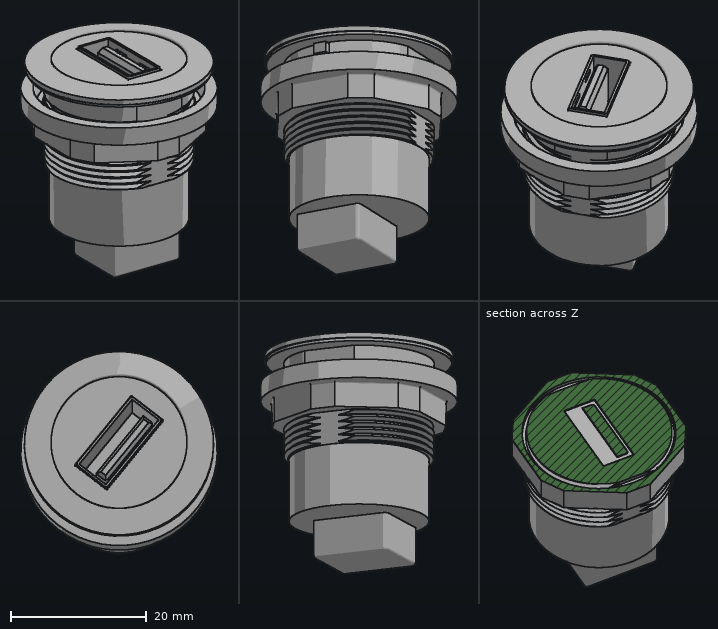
import cadquery as cq
import math

total_height = 31.8
bezel_rim_top = 31.05
bezel_rim_bottom = 30.25
bezel_bottom = 29.8
collar_bottom = 26.2
collar_taper_bottom = 25.7
thread_top = 25.2
nut_flange_top = 26.8
nut_flange_bottom = 24.0
nut_bottom = 20.15
thread_bottom = 15.15
barrel_bottom = 5.8

bezel_diameter = 27.9
bezel_lip_diameter = 27.4
bezel_face_diameter = 20.7
recess_diameter = 20.05
recess_depth = 0.45
recess_edge_radius = (bezel_face_diameter - recess_diameter) / 2

barrel_diameter = 20.7
collar_diameter = 22.2
thread_root_diameter = 20.92
thread_pitch = 1.0
thread_base = 0.98
thread_embed = 0.04
first_crest_height = 15.41

key_top = 29.6
key_bottom = 28.0
key_reach = 12.15
key_width = 2.0

nut_flange_diameter = 29.0
nut_recess_diameter = 25.35
nut_recess_floor_diameter = 24.4
nut_recess_depth = 2.5
nut_bore_diameter = 22.6
nut_bore_depth = 1.0
nut_across_flats = 24.0
nut_across_corners = 25.46
nut_root_fillet = 0.4

plug_x_min = -3.3
plug_x_max = 7.35
plug_width_y = 12.1
plug_edge_radius = 0.6

pocket_length = 13.45
pocket_width = 6.0
pocket_depth = 1.0
pocket_clearance = 0.1
shell_length = pocket_length - 2 * pocket_clearance
shell_width = pocket_width - 2 * pocket_clearance
shell_corner_radius = 0.4
shell_setback = 0.1
shell_top = total_height - shell_setback
cavity_length = 12.55
cavity_width = 5.0
cavity_depth = 8.0
tongue_length = 11.2
tongue_y_min = 0.13
tongue_y_max = 2.02
tongue_setback = 0.53
tongue_top = shell_top - tongue_setback
tongue_bevel_inset = 0.5
tongue_bevel_height = 0.87
tongue_corner_radius = 0.45
slot_spacing = 6.0
slot_length = 2.75
slot_height = 0.5
slot_center_drop = 1.2
slot_depth = 1.5


def disc(diameter, bottom, top):
    """Cylinder on the part axis between two heights."""
    return cq.Workplane("XY").workplane(offset=bottom).circle(diameter / 2).extrude(top - bottom)


def cone(bottom_diameter, top_diameter, bottom, top):
    """Truncated cone on the part axis between two heights."""
    lower = cq.Workplane("XY").workplane(offset=bottom).circle(bottom_diameter / 2)
    return lower.workplane(offset=top - bottom).circle(top_diameter / 2).loft()


def block(length, width, bottom, top, center=(0, 0)):
    """Rectangular block between two heights."""
    sketch = cq.Workplane("XY").workplane(offset=bottom).center(*center)
    return sketch.rect(length, width).extrude(top - bottom)


def make_bezel():
    """Shallow conical front ring with a stepped rim and a rounded round recess."""
    profile = [
        (0, bezel_bottom),
        (bezel_lip_diameter / 2, bezel_bottom),
        (bezel_lip_diameter / 2, bezel_rim_bottom),
        (bezel_diameter / 2, bezel_rim_bottom),
        (bezel_diameter / 2, bezel_rim_top),
        (bezel_face_diameter / 2, total_height),
    ]
    recess_floor = total_height - recess_depth
    edge_middle = recess_edge_radius * (1 - math.sqrt(0.5))
    return (
        cq.Workplane("XZ")
        .polyline(profile)
        .threePointArc(
            (recess_diameter / 2 + edge_middle, total_height - edge_middle),
            (recess_diameter / 2, total_height - recess_edge_radius),
        )
        .lineTo(recess_diameter / 2, recess_floor)
        .lineTo(0, recess_floor)
        .close()
        .revolve(360, (0, 0, 0), (0, 1, 0))
    )


def make_thread():
    """Right-hand V thread, trimmed square at both ends and flat on each X side."""
    foot_radius = thread_root_diameter / 2 - thread_embed
    crest_radius = collar_diameter / 2
    start = first_crest_height - thread_pitch
    length = thread_top + thread_pitch - start
    path = cq.Wire.makeHelix(thread_pitch, length, foot_radius, cq.Vector(0, 0, start))
    tooth = (
        cq.Workplane("XZ")
        .moveTo(foot_radius, start - thread_base / 2)
        .lineTo(crest_radius, start)
        .lineTo(foot_radius, start + thread_base / 2)
        .close()
    )
    ridge = tooth.sweep(cq.Workplane(obj=path), isFrenet=True)
    return ridge.intersect(flat_sided_block(thread_bottom, thread_top))


def flat_sided_block(bottom, top):
    """Block that trims the collar and the thread to a flat on each X side."""
    return block(barrel_diameter, 2 * collar_diameter, bottom, top)


def make_barrel():
    """Flat-sided collar, taper and thread core above the plain round barrel."""
    collar = disc(collar_diameter, collar_bottom, bezel_bottom)
    taper = cone(thread_root_diameter, collar_diameter, collar_taper_bottom, collar_bottom)
    core = disc(thread_root_diameter, thread_bottom, collar_taper_bottom)
    upper = collar.union(taper).union(core).intersect(flat_sided_block(thread_bottom, bezel_bottom))
    return upper.union(disc(barrel_diameter, barrel_bottom, thread_bottom))


def make_key():
    """Block reaching from the axis to just outside the +Y side of the collar."""
    return block(key_width, key_reach, key_bottom, key_top, (0, key_reach / 2))


def hexagon(across_flats, turn):
    """Hexagonal prism of the nut height; a turn of 30 degrees faces a flat to X."""
    prism = cq.Workplane("XY").workplane(offset=nut_bottom)
    prism = prism.polygon(6, across_flats / math.cos(math.pi / 6)).extrude(nut_flange_bottom - nut_bottom)
    return prism.rotate((0, 0, 0), (0, 0, 1), turn)


def make_nut():
    """Flanged hexagon nut with cut corners and a tapered recess in its flange."""
    nut = hexagon(nut_across_flats, 0).intersect(hexagon(nut_across_corners, 30))
    nut = nut.union(disc(nut_flange_diameter, nut_flange_bottom, nut_flange_top))
    mid_height = (nut_bottom + nut_flange_bottom) / 2
    reach = nut_flange_diameter / 2
    around_root = cq.selectors.BoxSelector((-reach, -reach, mid_height), (reach, reach, nut_flange_top))
    root_edges = nut.edges("%LINE").edges("#Z").edges(around_root)
    nut = root_edges.fillet(nut_root_fillet)
    recess_floor = nut_flange_top - nut_recess_depth
    nut = nut.cut(cone(nut_recess_floor_diameter, nut_recess_diameter, recess_floor, nut_flange_top))
    return nut.cut(disc(nut_bore_diameter, recess_floor - nut_bore_depth, recess_floor))


def make_plug():
    """Rounded block under the barrel, offset toward +X."""
    length = plug_x_max - plug_x_min
    center = ((plug_x_min + plug_x_max) / 2, 0)
    plug = block(length, plug_width_y, 0, barrel_bottom, center)
    return plug.edges("|Z or <Z").fillet(plug_edge_radius)


def make_tongue(floor):
    """Contact tongue with a bevelled tip and rounded rear corners."""
    tongue = block(
        tongue_length,
        tongue_y_max - tongue_y_min,
        floor,
        tongue_top,
        (0, (tongue_y_min + tongue_y_max) / 2),
    )
    tongue = tongue.faces(">Z").edges().chamfer(tongue_bevel_height, tongue_bevel_inset)
    rear_corners = tongue.faces(">Y").edges("|Z")
    return rear_corners.fillet(tongue_corner_radius)


def add_socket(body):
    """Raised USB shell in a sharp-cornered pocket, with its cavity, tongue and latch slots."""
    floor = shell_top - cavity_depth
    pocket_floor = shell_top - pocket_depth
    shell = block(shell_length, shell_width, pocket_floor, shell_top).edges("|Z").fillet(shell_corner_radius)
    body = body.cut(block(pocket_length, pocket_width, pocket_floor, total_height)).union(shell)
    body = body.cut(block(cavity_length, cavity_width, floor, shell_top))
    for side in (-1, 1):
        slot_center = (side * slot_spacing / 2, cavity_width / 2, shell_top - slot_center_drop)
        slot_face = cq.Workplane("XZ", origin=slot_center).slot2D(slot_length, slot_height)
        body = body.cut(slot_face.extrude(-slot_depth))
    return body.union(make_tongue(floor))


body = make_barrel().union(make_bezel()).union(make_key()).union(make_nut()).union(make_plug())
result = add_socket(body).union(make_thread())